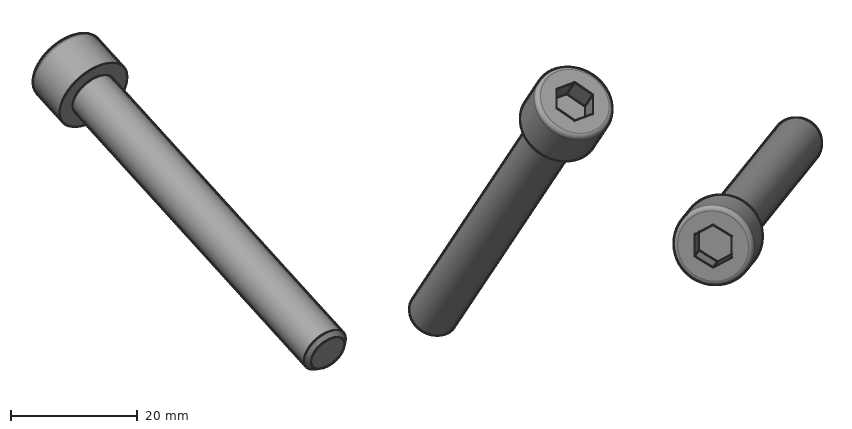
import cadquery as cq
import math

total_length = 73.0
head_diameter = 13.0
head_height = 8.0
head_edge_radius = 0.8
shank_diameter = 8.0
tip_chamfer = 0.8
socket_across_flats = 6.0
socket_depth = 4.0

shank_length = total_length - head_height
socket_across_corners = socket_across_flats / math.cos(math.pi / 6)


def make_head():
    """Cylindrical head with a rounded outer edge on its free face."""
    head = cq.Workplane("YZ").circle(head_diameter / 2).extrude(head_height)
    return head.faces("<X").edges().fillet(head_edge_radius)


def make_shank():
    """Plain round shank with a chamfered tip."""
    shank = cq.Workplane("YZ", origin=(head_height, 0, 0)).circle(shank_diameter / 2).extrude(shank_length)
    return shank.faces(">X").edges().chamfer(tip_chamfer)


def make_socket():
    """Blind hexagonal recess with two corners on the Z axis."""
    socket = cq.Workplane("YZ").polygon(6, socket_across_corners).extrude(socket_depth)
    return socket.rotate((0, 0, 0), (1, 0, 0), 90)


result = make_head().union(make_shank()).cut(make_socket())